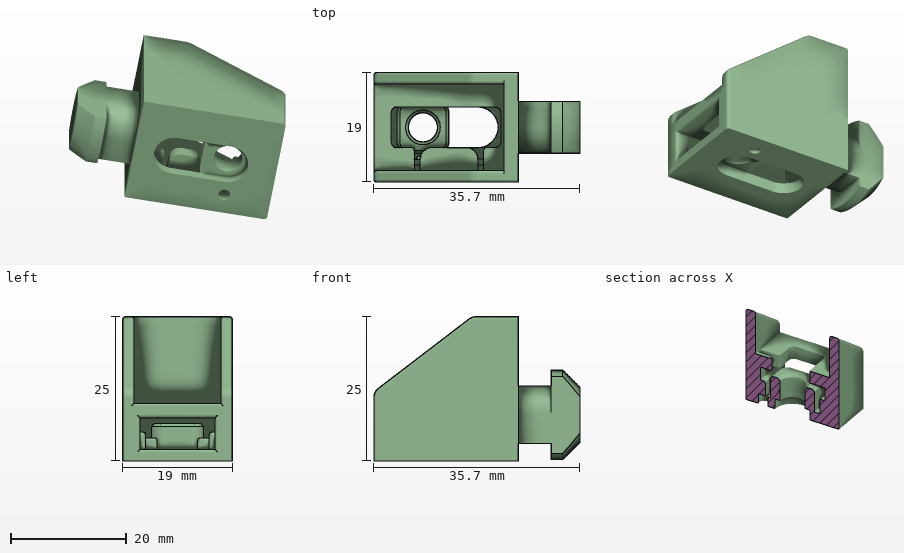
import cadquery as cq
import math

body_length = 25.0
body_width = 19.0
body_height = 25.0
front_height = 12.0
slope_end = 17.0
slope_corner_radius = 2.0
side_wall = 2.0
back_wall = 2.5
edge_radius = 0.5
deck_top = 10.0
inside_end = body_length - back_wall
tray_half_width = body_width / 2 - side_wall

overcut = 1.0
tolerance = 0.1

cavity_width = 13.0
cavity_floor = 2.0
cavity_ceiling = 7.5
cavity_half_width = cavity_width / 2

block_size = 9.0
block_corner_radius = 2.0
block_top = 6.5
block_chamfer = 0.5
block_chamfer_angle = 45.0
block_x = 8.5
screw_hole_diameter = 5.0
slot_width = 7.0
slot_far_center = inside_end - block_size / 2

opening_start = 3.0
opening_end = 22.0
opening_corner_radius = 1.0
tongue_start = 8.0
tongue_end = 18.0
tongue_corner_radius = 2.0
notch_gap = 1.0
notch_lip_radius = 0.5

guide_start = 2.0
guide_width = 1.0
guide_height = 3.0
guide_inner = cavity_half_width - guide_width
stop_start = 3.0
stop_width = 2.0
stop_thickness = 1.0
stop_height = 2.0
pin_hole_diameter = 2.0
pin_hole_x = 8.1
pin_hole_y = -6.0

stud_width = 9.0
stud_axis_z = 8.0
shank_height = 10.0
shank_length = 5.7
head_half_height = 7.75
head_end_radius = 10.0
head_length = 5.0
head_chamfer = 3.0


def box(x0, x1, y0, y1, z0, z1):
    """Box between two opposite corners."""
    return cq.Workplane("XY").box(x1 - x0, y1 - y0, z1 - z0, centered=False).translate((x0, y0, z0))


def make_shell():
    """Sloped block with the tray cut out and its exposed rims rounded."""
    outline = [
        (0, 0),
        (body_length, 0),
        (body_length, body_height),
        (slope_end, body_height),
        (0, front_height),
    ]
    shell = cq.Workplane("XZ").polyline(outline).close().extrude(body_width / 2, both=True)
    slope_corners = cq.selectors.BoxSelector(
        (-tolerance, -tolerance, front_height - tolerance),
        (slope_end + tolerance, tolerance, body_height + tolerance),
    )
    shell = shell.edges("|Y").edges(slope_corners).fillet(slope_corner_radius)
    tray = box(-overcut, inside_end, -tray_half_width, tray_half_width, deck_top, body_height + overcut)
    shell = shell.cut(tray)
    return shell.newObject(rim_edges(shell)).fillet(edge_radius)


def rim_edges(shell):
    """Front, slope and top edges of both side walls, plus the front edge of the deck."""
    rims = []
    for edge in shell.edges().vals():
        limits = edge.BoundingBox()
        middle = edge.Center()
        lengthwise = limits.ylen < edge_radius
        at_back_wall = limits.xmin > inside_end - edge_radius
        on_bottom = limits.zmax < edge_radius
        on_deck = abs(middle.z - deck_top) < edge_radius and limits.zlen < edge_radius
        deck_front = on_deck and limits.xmax < edge_radius and abs(middle.y) < edge_radius
        wall_rim = lengthwise and not (at_back_wall or on_bottom or on_deck)
        if deck_front or wall_rim:
            rims.append(edge)
    return rims


def cut_cavity(part):
    """Cavity with a rounded mouth, reaching the back wall."""
    cavity = box(-overcut, inside_end, -cavity_half_width, cavity_half_width, cavity_floor, cavity_ceiling)
    part = part.cut(cavity)
    mouth = cq.selectors.BoxSelector(
        (-tolerance, -cavity_half_width - tolerance, cavity_floor - tolerance),
        (tolerance, cavity_half_width + tolerance, cavity_ceiling + tolerance),
    )
    return part.edges(mouth).fillet(edge_radius)


def cut_deck_opening(part):
    """Long opening through the deck and the notch that leaves the tongue standing."""
    depth = deck_top - cavity_ceiling
    length = opening_end - opening_start
    opening = (
        cq.Workplane("XY", origin=((opening_start + opening_end) / 2, 0, cavity_ceiling))
        .rect(length, slot_width)
        .extrude(depth)
        .edges("|Z")
        .fillet(opening_corner_radius)
    )
    opening_side = -slot_width / 2
    notch_start = tongue_start - notch_gap
    notch_end = tongue_end + notch_gap
    notch = box(notch_start, notch_end, -tray_half_width, opening_side, cavity_ceiling, deck_top)
    cutter = opening.union(notch)
    notch_lips = cq.selectors.BoxSelector(
        (notch_start - tolerance, opening_side - tolerance, cavity_ceiling),
        (notch_end + tolerance, opening_side + tolerance, deck_top),
    )
    cutter = cutter.edges("|Z").edges(notch_lips).fillet(notch_lip_radius)
    tongue = box(tongue_start, tongue_end, -tray_half_width, opening_side, cavity_ceiling, deck_top)
    tongue = tongue.edges("|Z and >Y").fillet(tongue_corner_radius)
    return part.cut(cutter.cut(tongue))


def cut_floor(part):
    """Adjustment slot and pin hole through the floor of the cavity."""
    travel = slot_far_center - block_x
    slot = (
        cq.Workplane("XY", origin=((block_x + slot_far_center) / 2, 0, 0))
        .slot2D(travel + slot_width, slot_width)
        .extrude(cavity_floor)
    )
    pin_hole = (
        cq.Workplane("XY", origin=(pin_hole_x, pin_hole_y, 0))
        .circle(pin_hole_diameter / 2)
        .extrude(cavity_floor)
    )
    return part.cut(slot).cut(pin_hole)


def make_block():
    """Clamp block with rounded corners, a chamfered top edge and a chamfered screw hole."""
    block = (
        cq.Workplane("XY", origin=(block_x, 0, cavity_floor))
        .rect(block_size, block_size)
        .extrude(block_top - cavity_floor)
        .edges("|Z")
        .fillet(block_corner_radius)
        .faces(">Z")
        .edges()
        .chamfer(block_chamfer)
    )
    chamfered_radius = screw_hole_diameter / 2 + block_chamfer
    screw_hole = cq.Workplane("XY", origin=(block_x, 0, cavity_floor)).circle(screw_hole_diameter / 2)
    screw_hole = screw_hole.extrude(block_top - cavity_floor)
    screw_hole = screw_hole.union(
        cq.Workplane("XY", origin=(block_x, 0, block_top))
        .circle(chamfered_radius)
        .extrude(-block_chamfer, taper=block_chamfer_angle)
    )
    return block.cut(screw_hole)


def make_guide():
    """Guide rail along the +Y cavity wall, rounded along its top and at its front."""
    guide = box(
        guide_start, inside_end, guide_inner, cavity_half_width, cavity_floor, cavity_floor + guide_height
    )
    return guide.edges("(<X and <Y) or (>Z and <X) or (>Z and <Y)").fillet(edge_radius)


def make_stop():
    """Stop reaching inward from the guide, with a fully rounded top and free end."""
    radius = stop_thickness / 2
    crest_x = stop_start + radius
    crest_z = cavity_floor + stop_height - radius
    tip_y = guide_inner - stop_width + radius
    stop = box(stop_start, stop_start + stop_thickness, tip_y, guide_inner, cavity_floor, crest_z)
    crest = cq.Workplane("XZ", origin=(crest_x, tip_y, crest_z)).circle(radius).extrude(tip_y - guide_inner)
    end = cq.Workplane("XY", origin=(crest_x, tip_y, cavity_floor)).circle(radius)
    end = end.extrude(crest_z - cavity_floor)
    tip = cq.Workplane("XY", origin=(crest_x, tip_y, crest_z)).sphere(radius)
    return stop.union(crest).union(end).union(tip)


def make_ribs():
    """Matching guide and stop on both sides of the cavity."""
    ribs = make_guide().union(make_stop())
    return ribs.union(ribs.mirror("XZ"))


def make_shank():
    """Rectangular shank with two opposite quarters rounded, so it can turn in a channel."""
    half_width = stud_width / 2
    shank = (
        cq.Workplane("YZ", origin=(body_length, 0, stud_axis_z))
        .rect(stud_width, shank_height)
        .extrude(shank_length)
    )
    return shank.edges("(<Y and >Z) or (>Y and <Z)").fillet(half_width)


def make_head():
    """Stud head with arched ends, chamfered toward the tip."""
    half_width = stud_width / 2
    corner_height = head_half_height - head_end_radius + math.sqrt(head_end_radius**2 - half_width**2)
    head = (
        cq.Workplane("YZ", origin=(body_length + shank_length, 0, stud_axis_z))
        .moveTo(-half_width, -corner_height)
        .threePointArc((0, -head_half_height), (half_width, -corner_height))
        .lineTo(half_width, corner_height)
        .threePointArc((0, head_half_height), (-half_width, corner_height))
        .close()
        .extrude(head_length)
    )
    return head.faces(">X").edges("%CIRCLE").chamfer(head_chamfer)


housing = cut_floor(cut_deck_opening(cut_cavity(make_shell())))
result = housing.union(make_ribs()).union(make_block()).union(make_shank()).union(make_head())